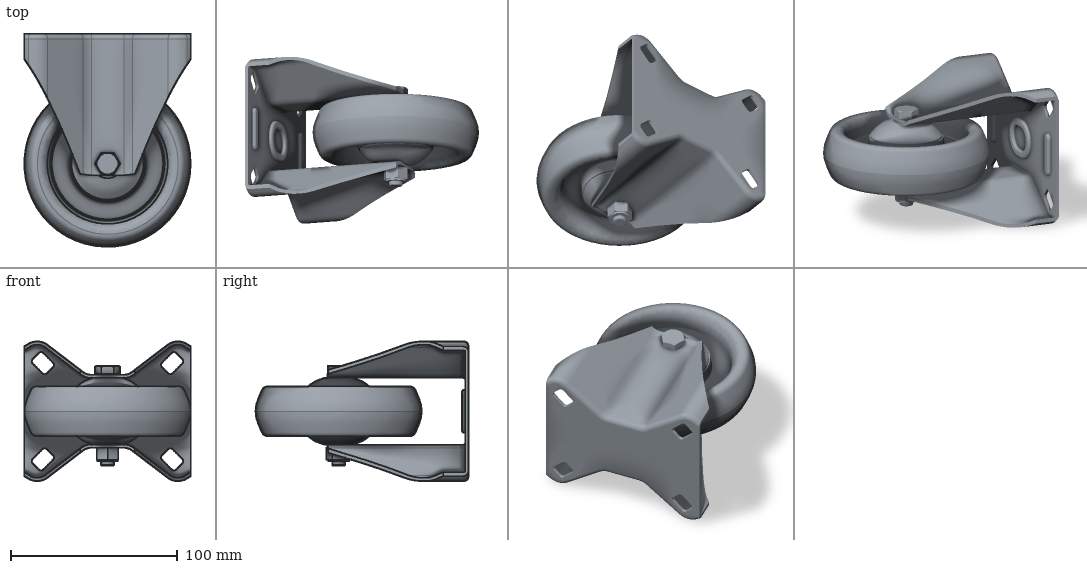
import cadquery as cq
import math


SHEET = 2.0
PLATE_WIDTH = 100.0
PLATE_BACK = 78.0
LEG_INNER = 20.0
LEG_CREST = 42.0
VALLEY_FLAT_HALF = 9.9
CREST_X = 42.25
TIGHT_BEND = 8.0
WIDE_BEND = TIGHT_BEND + SHEET
LIP_ANGLE = 33.0
PLATE_BEND_INNER = 1.0
PLATE_BEND_OUTER = PLATE_BEND_INNER + SHEET
LEG_TIP_Y = -7.0
LEG_CORNER = (16.4, -6.2)
LEG_SHOULDER_Y = 62.7
LEG_EDGE_THROUGH = [(27.2, 20.2), (36.6, 40.2), (44.0, 53.6)]
MARGIN = 5.0

SLOT_LENGTH = 12.0
SLOT_WIDTH = 9.0
SLOT_CORNER = 2.0
SLOT_ANGLE = 45.0
SLOT_X = 38.8
SLOT_Z = 28.9
BEAD_WIDTH = 6.0
BEAD_HEIGHT = 2.0
BEAD_ROUND = 1.6
BEAD_LENGTH = 26.0
BEAD_X = 39.6
RING_LENGTH = 28.6
RING_HEIGHT = 24.0
RING_WIDTH = 5.0

WHEEL_RADIUS = 50.0
TYRE_HALF_WIDTH = 15.0
TYRE_CREST_RADIUS = 42.3
TYRE_SHOULDER = (47.0, 10.7)
CORE_RADIUS = 36.2
CORE_RIM_Z = 9.5
WEB_RADIUS = 33.4
WEB_Z = 3.0
WEB_FILLET = 0.9
HUB_BASE_RADIUS = 23.3
HUB_TOP_RADIUS = 22.4
HUB_Z = 10.0
CAP_RADIUS = 21.6
CAP_LIP_HEIGHT = 1.2
CAP_BULGE = (18.3, 15.0)
CAP_FLAT_RADIUS = 8.8

BOLT_RADIUS = 4.0
BOLT_END_Z = -32.7
BOLT_END_CHAMFER = 0.5
HEX_FLATS = 13.0
HEX_CORNERS = HEX_FLATS / math.cos(math.radians(30))
HEX_CHAMFER = 0.6
WASHER_FACE_RADIUS = 6.25
WASHER_FACE_HEIGHT = 0.6
HEAD_HEIGHT = 5.3
NUT_HEIGHT = 7.0
NUT_COLLAR_HEIGHT = 1.1

LEG_OUTER = LEG_INNER + SHEET
PLATE_FRONT = PLATE_BACK - SHEET


def corrugated_block(valley_radius, crest_radius, leg_z, end_x, back_y):
    """Block along Y whose top and bottom follow one surface of the legs."""
    valley_z = LEG_INNER + WIDE_BEND
    crest_z = LEG_CREST - WIDE_BEND
    run = CREST_X - VALLEY_FLAT_HALF
    rise = crest_z - valley_z
    slope = math.atan2(rise, run) + math.asin((valley_radius + crest_radius) / math.hypot(run, rise))
    lip = math.radians(LIP_ANGLE)

    def on_valley(angle):
        x = VALLEY_FLAT_HALF + valley_radius * math.sin(angle)
        return x, valley_z - valley_radius * math.cos(angle)

    def on_crest(angle):
        return CREST_X + crest_radius * math.sin(angle), crest_z + crest_radius * math.cos(angle)

    lip_x, lip_z = on_crest(lip)
    return (
        cq.Workplane("XZ", origin=(0, back_y, 0))
        .moveTo(0, leg_z)
        .lineTo(VALLEY_FLAT_HALF, leg_z)
        .threePointArc(on_valley(slope / 2), on_valley(slope))
        .lineTo(*on_crest(-slope))
        .threePointArc(on_crest(0), on_crest(lip))
        .lineTo(end_x, lip_z - (end_x - lip_x) * math.tan(lip))
        .lineTo(end_x, 0)
        .mirrorX()
        .mirrorY()
        .extrude(back_y - LEG_TIP_Y + MARGIN)
        .clean()
    )


def leg_outline():
    """Tapered outline of the bracket, as a prism along Z."""
    half = PLATE_WIDTH / 2
    left_edge = [(-x, y) for x, y in LEG_EDGE_THROUGH] + [(-half, LEG_SHOULDER_Y)]
    right_edge = LEG_EDGE_THROUGH[::-1] + [LEG_CORNER]
    return (
        cq.Workplane("XY", origin=(0, 0, -LEG_CREST - MARGIN))
        .moveTo(-half, PLATE_BACK)
        .lineTo(half, PLATE_BACK)
        .lineTo(half, LEG_SHOULDER_Y)
        .spline(right_edge, includeCurrent=True)
        .lineTo(VALLEY_FLAT_HALF, LEG_TIP_Y)
        .lineTo(-VALLEY_FLAT_HALF, LEG_TIP_Y)
        .lineTo(-LEG_CORNER[0], LEG_CORNER[1])
        .spline(left_edge, includeCurrent=True)
        .close()
        .extrude(2 * (LEG_CREST + MARGIN))
    )


def plate_slot(x_side, z_side):
    return (
        cq.Workplane("XY")
        .box(SLOT_LENGTH, 2 * SHEET, SLOT_WIDTH)
        .edges("|Y")
        .fillet(SLOT_CORNER)
        .rotate((0, 0, 0), (0, 1, 0), x_side * z_side * -SLOT_ANGLE)
        .translate((x_side * SLOT_X, PLATE_FRONT, z_side * SLOT_Z))
    )


def straight_bead(x):
    return (
        cq.Workplane("XZ", origin=(x, PLATE_FRONT, 0))
        .slot2D(BEAD_LENGTH, BEAD_WIDTH, 90)
        .extrude(BEAD_HEIGHT)
        .faces("<Y")
        .edges()
        .fillet(BEAD_ROUND)
    )


def ring_bead():
    return (
        cq.Workplane("XZ", origin=(0, PLATE_FRONT, 0))
        .slot2D(RING_LENGTH, RING_HEIGHT)
        .slot2D(RING_LENGTH - 2 * RING_WIDTH, RING_HEIGHT - 2 * RING_WIDTH)
        .extrude(BEAD_HEIGHT)
        .faces("<Y")
        .edges()
        .fillet(BEAD_ROUND)
    )


def make_bracket():
    half = PLATE_WIDTH / 2
    outside = corrugated_block(TIGHT_BEND, WIDE_BEND, LEG_OUTER, half, PLATE_BACK)
    outside = outside.faces(">Y").edges("not |Z").fillet(PLATE_BEND_OUTER)
    inside = corrugated_block(WIDE_BEND, TIGHT_BEND, LEG_INNER, half + MARGIN, PLATE_FRONT)
    inside = inside.faces(">Y").edges("not |Z").fillet(PLATE_BEND_INNER)
    body = outside.cut(inside).intersect(leg_outline())
    for x_side in (-1, 1):
        body = body.union(straight_bead(x_side * BEAD_X))
        for z_side in (-1, 1):
            body = body.cut(plate_slot(x_side, z_side))
    body = body.union(ring_bead())
    axle_hole = cq.Workplane("XY").circle(BOLT_RADIUS).extrude(LEG_CREST, both=True)
    return body.cut(axle_hole)


def make_tyre():
    """Rounded tread that rolls over at its side crest and drops to the rim."""
    side_crest = (TYRE_CREST_RADIUS, TYRE_HALF_WIDTH)
    half = (
        cq.Workplane("XZ")
        .moveTo(CORE_RADIUS, 0)
        .lineTo(WHEEL_RADIUS, 0)
        .spline([TYRE_SHOULDER, side_crest], tangents=[(0, 1), (-1, 0)], includeCurrent=True)
        .spline([(CORE_RADIUS, CORE_RIM_Z)], tangents=[(-1, 0), (-0.3, -1)], includeCurrent=True)
        .close()
        .revolve(360, (0, 0), (0, 1))
    )
    return half.union(half.mirror("XY"))


def make_core():
    """Wheel body with a thin web, a raised rim and a central hub."""
    half = (
        cq.Workplane("XZ")
        .moveTo(BOLT_RADIUS, 0)
        .lineTo(CORE_RADIUS, 0)
        .lineTo(CORE_RADIUS, CORE_RIM_Z)
        .lineTo(WEB_RADIUS + WEB_FILLET, WEB_Z + WEB_FILLET)
        .lineTo(WEB_RADIUS, WEB_Z)
        .lineTo(HUB_BASE_RADIUS + WEB_FILLET, WEB_Z)
        .radiusArc((HUB_BASE_RADIUS, WEB_Z + WEB_FILLET), WEB_FILLET)
        .lineTo(HUB_TOP_RADIUS, HUB_Z)
        .lineTo(BOLT_RADIUS, HUB_Z)
        .close()
        .revolve(360, (0, 0), (0, 1))
    )
    return half.union(half.mirror("XY"))


def make_cap():
    """Domed guard between the hub and the upper leg."""
    return (
        cq.Workplane("XZ")
        .moveTo(BOLT_RADIUS, HUB_Z)
        .lineTo(CAP_RADIUS, HUB_Z)
        .lineTo(CAP_RADIUS, HUB_Z + CAP_LIP_HEIGHT)
        .threePointArc(CAP_BULGE, (CAP_FLAT_RADIUS, LEG_INNER))
        .lineTo(BOLT_RADIUS, LEG_INNER)
        .close()
        .revolve(360, (0, 0), (0, 1))
    )


def corner_cone(height):
    """Cylinder over the hexagon corners, chamfered at its top to bevel them."""
    return (
        cq.Workplane("XY")
        .circle(HEX_CORNERS / 2)
        .extrude(height)
        .faces(">Z")
        .chamfer(HEX_CHAMFER, HEX_CORNERS / 2 - HEX_FLATS / 2)
    )


def make_bolt():
    hex_height = HEAD_HEIGHT - WASHER_FACE_HEIGHT
    head = cq.Workplane("XY").polygon(6, HEX_CORNERS).extrude(hex_height).intersect(corner_cone(hex_height))
    head = head.translate((0, 0, LEG_OUTER + WASHER_FACE_HEIGHT))
    washer_face = cq.Workplane("XY", origin=(0, 0, LEG_OUTER)).circle(WASHER_FACE_RADIUS)
    shank = (
        cq.Workplane("XY", origin=(0, 0, BOLT_END_Z))
        .circle(BOLT_RADIUS)
        .extrude(LEG_OUTER - BOLT_END_Z)
        .faces("<Z")
        .chamfer(BOLT_END_CHAMFER)
    )
    return shank.union(washer_face.extrude(WASHER_FACE_HEIGHT)).union(head)


def make_nut():
    """Lock nut under the lower leg, with its corners along Y."""
    hexagon = (
        cq.Workplane("XY", origin=(0, 0, -LEG_OUTER))
        .polygon(6, HEX_CORNERS)
        .extrude(-NUT_HEIGHT)
        .rotate((0, 0, 0), (0, 0, 1), 90)
    )
    collar = hexagon.faces("<Z").workplane().circle(WASHER_FACE_RADIUS).extrude(NUT_COLLAR_HEIGHT)
    return collar.cut(cq.Workplane("XY").circle(BOLT_RADIUS).extrude(-LEG_CREST))


bracket = make_bracket()
tyre = make_tyre()
core = make_core()
upper_cap = make_cap()
lower_cap = upper_cap.mirror("XY")
bolt = make_bolt()
nut = make_nut()

result = cq.Compound.makeCompound(
    [body.val() for body in (bracket, tyre, core, upper_cap, lower_cap, bolt, nut)]
)